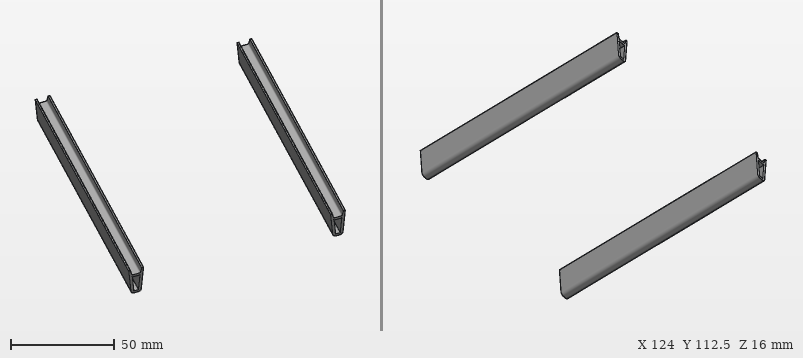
import cadquery as cq
import math

LENGTH = 124.0
OVERALL_WIDTH = 112.5
HEIGHT = 16.0

TOP_WIDTH = 7.7
WALL_ANGLE = 4.6
WALL = 1.5
BOTTOM_FILLET = 1.9
LIP = 1.0
CHANNEL_ANGLE = 12.0
CHANNEL_DEPTH = 3.1
CHANNEL_FILLET = 0.7

RAIL_SPACING = OVERALL_WIDTH - TOP_WIDTH
CHANNEL_FLOOR = HEIGHT - CHANNEL_DEPTH
CAVITY_TOP = CHANNEL_FLOOR - WALL
CAVITY_TOP_WIDTH = TOP_WIDTH - 2 * WALL - 2 * (HEIGHT - CAVITY_TOP) * math.tan(math.radians(WALL_ANGLE))


def tapered_bar(z_bottom, z_top, top_width, angle):
    """Full-length bar whose sides lean inward by the angle from the top width downwards."""
    top = top_width / 2
    bottom = top - (z_top - z_bottom) * math.tan(math.radians(angle))
    outline = [(-bottom, z_bottom), (bottom, z_bottom), (top, z_top), (-top, z_top)]
    return cq.Workplane("YZ").polyline(outline).close().extrude(LENGTH / 2, both=True)


def round_lower_edges(bar, radius):
    """Round the two long edges at the bottom of a bar."""
    return bar.faces("<Z").edges("|X").fillet(radius)


def make_rail(y_center):
    """One clip rail running along X."""
    body = tapered_bar(0, HEIGHT, TOP_WIDTH, WALL_ANGLE)
    body = round_lower_edges(body, BOTTOM_FILLET)
    channel = tapered_bar(CHANNEL_FLOOR, HEIGHT, TOP_WIDTH - 2 * LIP, CHANNEL_ANGLE)
    channel = round_lower_edges(channel, CHANNEL_FILLET)
    cavity = tapered_bar(WALL, CAVITY_TOP, CAVITY_TOP_WIDTH, WALL_ANGLE)
    return body.cut(channel).cut(cavity).translate((0, y_center, 0))


rails = [make_rail(side * RAIL_SPACING / 2) for side in (-1, 1)]

result = cq.Compound.makeCompound([rail.val() for rail in rails])